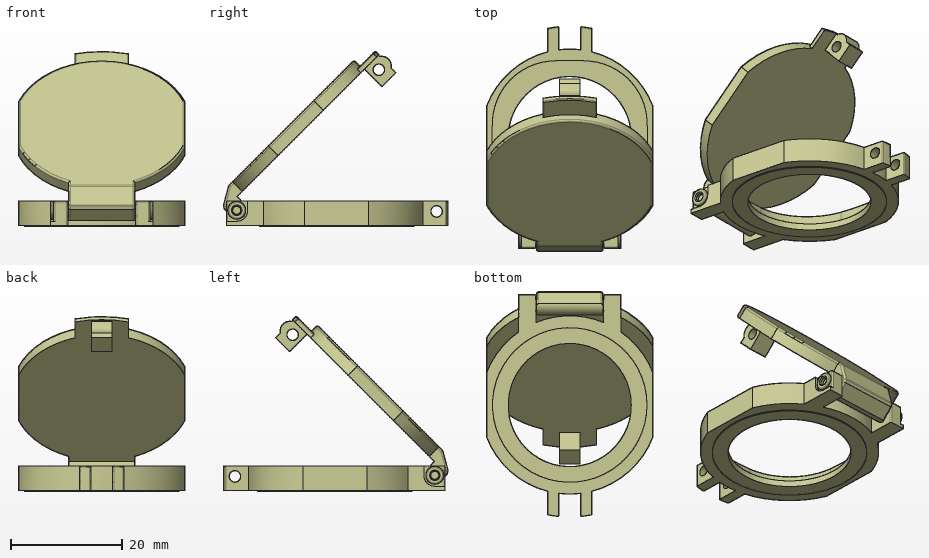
import cadquery as cq
import math


body_radius = 16.07
body_width = 30.0

ring_height = 4.45
cavity_half_width = 14.05
cavity_side_radius = 40.5
cavity_corner_radius = 11.35
opening_radius = 11.1
floor_height = 1.0
lip_height = 0.2
lip_radius = 13.93

hinge_y = -18.0
hinge_z = 2.75
open_angle = 45
side_gap = 0.1
arm_half_width = 6.0
barrel_radius = 1.82
barrel_front = 1.45
slant_angle = 30
slant_start = 2.1
slant_end = -1.1
steep_angle = 60
slant_fillet = 0.5

ear_outer = 9.25
ear_front = 1.85
ear_edge_fillet = 0.25
pocket_depth = 0.53
pocket_radius = 2.0

head_radius = 1.6
head_fillet = 0.2
shaft_radius = 1.0
shaft_reach = 2.02
socket_radius = 0.73
socket_depth = 0.73
socket_chamfer = 0.2

lid_thickness = 2.45
lid_fillet = 0.35

latch_y = 18.0
latch_z = 2.55
latch_hole_radius = 1.0
latch_half_width = 1.85
latch_block_half_length = 1.8
bump_radius = 1.8
bump_offset = 0.8
bump_rise = 0.12
tab_half_width = 4.85
tab_thickness = 0.95
tab_radius = 19.95
tab_fillet = 0.2
latch_ear_width = 2.02
latch_ear_radius = 20.2
latch_ear_fillet = 0.2

pick_margin = 0.05

ear_inner = arm_half_width + side_gap
ear_end_y = hinge_y - ear_front
pocket_floor = ear_outer - pocket_depth
lid_top = ring_height + lid_thickness
slant_bottom = lid_top - (slant_start - slant_end) * math.tan(math.radians(slant_angle))
steep_bottom = slant_bottom - (slant_end + barrel_front) * math.tan(math.radians(steep_angle))
barrel_front_y = hinge_y - barrel_front
shaft_end = -arm_half_width + shaft_reach


def box(x_range, y_range, z_range):
    """A box between the two given limits on each axis."""
    (x0, x1), (y0, y1), (z0, z1) = x_range, y_range, z_range
    return cq.Workplane("XY").box(x1 - x0, y1 - y0, z1 - z0, centered=False).translate((x0, y0, z0))


def disc(radius, bottom, top):
    """A disc on the ring's axis."""
    return cq.Workplane("XY").workplane(offset=bottom).circle(radius).extrude(top - bottom)


def x_cylinder(radius, x_range, y, z):
    """A cylinder along X."""
    x0, x1 = x_range
    return cq.Workplane("YZ", origin=(x0, y, z)).circle(radius).extrude(x1 - x0)


def flatted_disc(bottom, top):
    """A slab with the outline that the ring and the lid share."""
    slab = box(
        (-body_width / 2, body_width / 2),
        (-body_radius, body_radius),
        (bottom, top),
    )
    return disc(body_radius, bottom, top).intersect(slab)


def mirrored(shape):
    """The same shape on the other side of the plane X = 0."""
    return shape.mirror("YZ")


def hinge_ear():
    """The ear on the -X side, with a pocket for the pin head and a bore for the shaft."""
    ear = box((-ear_outer, -ear_inner), (ear_end_y, 0), (0, ring_height))
    pocket_top = box(
        (-ear_outer, -pocket_floor),
        (ear_end_y, hinge_y + pocket_radius),
        (hinge_z, ring_height),
    )
    pocket_front = box(
        (-ear_outer, -pocket_floor),
        (ear_end_y, hinge_y),
        (hinge_z - pocket_radius, ring_height),
    )
    pocket_round = x_cylinder(pocket_radius, (-ear_outer, -pocket_floor), hinge_y, hinge_z)
    ear = ear.cut(pocket_top).cut(pocket_front).cut(pocket_round)
    front_edges = cq.selectors.BoxSelector(
        (-pocket_floor - pick_margin, ear_end_y - pick_margin, hinge_z - pocket_radius + pick_margin),
        (-ear_inner + pick_margin, ear_end_y + pick_margin, ring_height + pick_margin),
    )
    inner_edge = cq.selectors.BoxSelector(
        (-ear_inner - pick_margin, ear_end_y - pick_margin, 0),
        (-ear_inner + pick_margin, ear_end_y + pick_margin, ring_height),
    )
    ear = ear.edges(front_edges + inner_edge).fillet(ear_edge_fillet)
    return ear.cut(x_cylinder(shaft_radius, (-ear_outer, -ear_inner), hinge_y, hinge_z))


def latch_ear():
    """The ear beside the latch on the -X side."""
    inner = latch_half_width + side_gap
    ear = box((-inner - latch_ear_width, -inner), (0, latch_ear_radius), (0, ring_height))
    ear = ear.intersect(disc(latch_ear_radius, 0, ring_height))
    tip_edges = cq.selectors.BoxSelector(
        (-ear_outer, latch_y + latch_hole_radius, ring_height / 4),
        (0, latch_ear_radius, ring_height + pick_margin),
    )
    ear = ear.edges(tip_edges).fillet(latch_ear_fillet)
    return ear.cut(x_cylinder(latch_hole_radius, (-ear_outer, 0), latch_y, latch_z))


def cavity():
    """The hollow above the floor: a square with bulging sides and well-rounded corners."""
    arc_centre_offset = cavity_side_radius - cavity_half_width
    corner = (math.sqrt(2 * cavity_side_radius**2 - arc_centre_offset**2) - arc_centre_offset) / 2
    return (
        cq.Workplane("XY", origin=(0, 0, floor_height))
        .moveTo(corner, corner)
        .threePointArc((0, cavity_half_width), (-corner, corner))
        .threePointArc((-cavity_half_width, 0), (-corner, -corner))
        .threePointArc((0, -cavity_half_width), (corner, -corner))
        .threePointArc((cavity_half_width, 0), (corner, corner))
        .close()
        .extrude(ring_height - floor_height)
        .edges("|Z")
        .fillet(cavity_corner_radius)
    )


def make_base():
    """The ring with its inner floor, bottom lip and the two pairs of ears."""
    ring = flatted_disc(0, ring_height)
    for ear in (hinge_ear(), latch_ear()):
        ring = ring.union(ear).union(mirrored(ear))
    ring = ring.union(disc(lip_radius, -lip_height, 0))
    ring = ring.cut(cavity())
    return ring.cut(disc(opening_radius, -lip_height, ring_height))


def hinge_arm():
    """The arm that slopes down from the lid's top to the barrel about the hinge."""
    back = hinge_y + barrel_radius
    flat_end = math.sqrt(barrel_radius**2 - barrel_front**2)
    arm = (
        cq.Workplane("YZ", origin=(-arm_half_width, 0, 0))
        .moveTo(0, ring_height)
        .lineTo(back, ring_height)
        .lineTo(back, hinge_z)
        .threePointArc((hinge_y, hinge_z - barrel_radius), (barrel_front_y, hinge_z - flat_end))
        .lineTo(barrel_front_y, steep_bottom)
        .lineTo(hinge_y + slant_end, slant_bottom)
        .lineTo(hinge_y + slant_start, lid_top)
        .lineTo(0, lid_top)
        .close()
        .extrude(2 * arm_half_width)
    )
    slant_edges = cq.selectors.BoxSelector(
        (-0.4, hinge_y + slant_end - pick_margin, slant_bottom - pick_margin),
        (0.4, hinge_y + slant_start + pick_margin, lid_top + pick_margin),
    )
    arm = arm.edges(slant_edges).fillet(slant_fillet)
    upper_edges = cq.selectors.BoxSelector(
        (-body_width, barrel_front_y - pick_margin, ring_height + pick_margin),
        (body_width, -pick_margin, lid_top + pick_margin),
    )
    front_edges = cq.selectors.BoxSelector(
        (-body_width, barrel_front_y - pick_margin, hinge_z),
        (body_width, barrel_front_y + pick_margin, ring_height),
    )
    return arm.edges(upper_edges + front_edges).edges("not |X").fillet(lid_fillet)


def latch_tab():
    """The thin curved tab at the edge of the lid."""
    tab_top = ring_height + tab_thickness
    tab = box((-tab_half_width, tab_half_width), (0, tab_radius), (ring_height, tab_top))
    tab = tab.intersect(disc(tab_radius, ring_height, tab_top))
    return tab.faces(">Z").edges("not <Y").fillet(tab_fillet)


def latch_block():
    """The block under the tab that goes between the latch ears."""
    x_range = (-latch_half_width, latch_half_width)
    y_range = (latch_y - latch_block_half_length, latch_y + latch_block_half_length)
    block = box(x_range, y_range, (0, ring_height))
    bump_end = latch_y + bump_offset + bump_radius
    bump = x_cylinder(bump_radius, x_range, latch_y + bump_offset, latch_z + bump_rise)
    block = block.union(bump.intersect(box(x_range, (latch_y, bump_end), (0, ring_height))))
    return block.cut(x_cylinder(latch_hole_radius, x_range, latch_y, latch_z))


def make_lid():
    """The lid with its hinge arm and latch, swung open."""
    lid = flatted_disc(ring_height, lid_top).faces(">Z").edges().fillet(lid_fillet)
    lid = lid.union(hinge_arm())
    lid = lid.union(latch_tab()).union(latch_block())
    pin_bore = x_cylinder(shaft_radius, (-arm_half_width, shaft_end), hinge_y, hinge_z)
    lid = lid.cut(pin_bore).cut(mirrored(pin_bore))
    return lid.rotate((0, hinge_y, hinge_z), (1, hinge_y, hinge_z), open_angle)


def make_pin():
    """The pin on the -X side: a rounded head with a chamfered socket, and a shaft into the arm."""
    head = x_cylinder(head_radius, (-ear_outer, -pocket_floor), hinge_y, hinge_z)
    head = head.edges().fillet(head_fillet)
    socket_end = -ear_outer + socket_depth
    head_middle = -pocket_floor - pocket_depth / 2
    pin = head.union(x_cylinder(shaft_radius, (head_middle, shaft_end), hinge_y, hinge_z))
    pin = pin.cut(x_cylinder(socket_radius, (-ear_outer, socket_end), hinge_y, hinge_z))
    socket_rim = cq.selectors.RadiusNthSelector(0)
    return pin.faces("<X").edges(socket_rim).chamfer(socket_chamfer)


def make_pins():
    """The two hinge pins, one on each side."""
    pin = make_pin()
    return [pin, mirrored(pin)]


base = make_base()
lid = make_lid()
pins = make_pins()
result = cq.Compound.makeCompound([base.val(), lid.val(), *[pin.val() for pin in pins]])